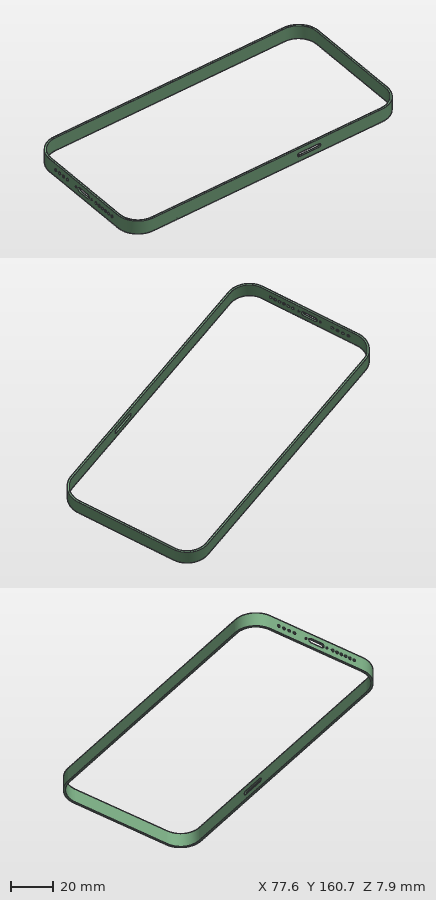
import cadquery as cq

width = 77.6
length = 160.7
height = 7.9
corner_radius = 11.9
wall = 1.05

port_length = 8.8
port_height = 2.5
screw_hole_diameter = 1.0
screw_hole_offset = 6.1
speaker_hole_diameter = 1.5
outer_hole_offset = 22.0
left_hole_count = 4
left_hole_pitch = 3.0
right_hole_count = 6
innermost_right_offset = 9.5
right_hole_pitch = (outer_hole_offset - innermost_right_offset) / (right_hole_count - 1)

side_slot_length = 13.8
side_slot_height = 2.1
side_slot_y = 24.7

cut_depth = 3 * wall


def rounded_block(size_x, size_y, radius):
    """Block of the band's height with rounded vertical edges."""
    return cq.Workplane("XY").box(size_x, size_y, height).edges("|Z").fillet(radius)


def bottom_wall_plane():
    """Sketch plane just outside the -Y wall, facing outward; local x is +X."""
    return cq.Workplane("XZ", origin=(0, -length / 2 - wall, 0))


def bottom_holes(positions, diameter):
    """Row of round cutters passing through the -Y wall."""
    points = [(x, 0) for x in positions]
    return bottom_wall_plane().pushPoints(points).circle(diameter / 2).extrude(-cut_depth)


outer = rounded_block(width, length, corner_radius)
inner = rounded_block(width - 2 * wall, length - 2 * wall, corner_radius - wall)
band = outer.cut(inner)

port = bottom_wall_plane().slot2D(port_length, port_height).extrude(-cut_depth)
screw_holes = bottom_holes([-screw_hole_offset, screw_hole_offset], screw_hole_diameter)

left_positions = [-outer_hole_offset + i * left_hole_pitch for i in range(left_hole_count)]
right_positions = [outer_hole_offset - i * right_hole_pitch for i in range(right_hole_count)]
speaker_holes = bottom_holes(left_positions + right_positions, speaker_hole_diameter)

side_slot = (
    cq.Workplane("YZ", origin=(width / 2 + wall, side_slot_y, 0))
    .slot2D(side_slot_length, side_slot_height)
    .extrude(-cut_depth)
)

result = band.cut(port).cut(screw_holes).cut(speaker_holes).cut(side_slot)